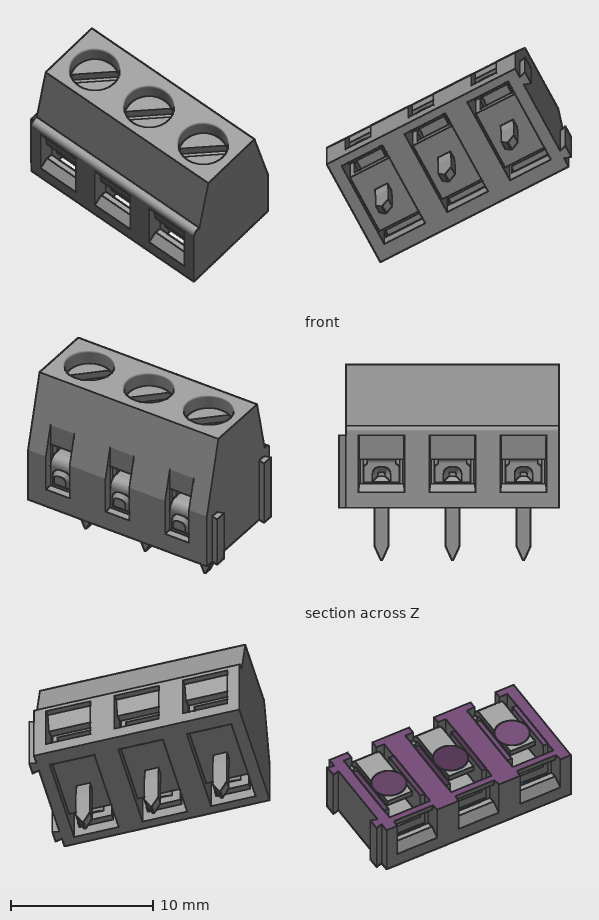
import cadquery as cq
import math


pole_count = 3
housing_length = 15.0
housing_depth = 8.1
housing_height = 10.1
pole_pitch = housing_length / pole_count
back_wall_height = 4.3
back_top_inset = 1.49
front_top_inset = 1.58
front_step_height = 5.8
front_step_depth = 0.6
front_step_radius = 0.4

rib_height_out = 0.5
rib_outer_width = 0.91
rib_base_width = 0.64
rib_inset = 1.0
front_rib_height = 5.12
back_rib_height = 3.9

opening_width = 3.25
opening_bottom = 1.1
opening_top = 5.12
funnel_end_width = 3.0
ledge_start = 0.62
ledge_height = 1.7
lip_front_top = 0.37
lip_front_bottom = 0.59
lip_height = 3.41

cavity_width = opening_width
cavity_front = 1.05
cavity_height = 5.0

notch_width = 2.0
notch_depth = 0.6
notch_bottom = 1.45

screw_y = 4.0
head_diameter = 3.5
head_top = 9.19
head_bottom = 7.13
head_radius = 0.35
shank_diameter = 2.5
slot_width = 0.75
slot_depth = 0.67
slot_angle = 45
hole_rim_diameter = 3.8
hole_rim_radius = (hole_rim_diameter - head_diameter) / 2

clamp_front = 1.78
clamp_inner_width = 2.55
clamp_bottom = 1.05
clamp_floor_top = 1.81
clamp_roof_bottom = 4.2
clamp_length = 2 * (screw_y - clamp_front)

pin_drop = 3.69
pin_width = 1.0
pin_thickness = 0.6
pin_front = 3.9
pin_point_length = 0.99
pin_point_width = 0.2
pin_tip_width = 0.08
pin_tip_height = 0.11
pin_bend_drop = 0.2
pin_lean_angle = 5

guard_thickness = 0.4
guard_back = housing_depth - notch_depth
guard_front = guard_back - guard_thickness
guard_width = 2.5
guard_shoulder = 2.91
tongue_width = 2.0
tongue_front = 2.48
bend_start = 3.15
bend_radius = 0.33
tongue_top = bend_start + bend_radius + guard_thickness

dimple_width = 1.27
dimple_height = 1.04
dimple_bottom = 1.85
dimple_corner = 0.5
dimple_depth = 0.39
dimple_taper = 45
boss_margin = 0.19
boss_depth = 0.33


def side_prism(points, width, center_x):
    """Extrude a closed (y, z) polygon along X, centred on center_x."""
    plane = cq.Workplane("YZ", origin=(center_x, 0, 0))
    return plane.polyline(points).close().extrude(width / 2, both=True)


def block(width, center_x, y_range, z_range):
    """Box centred on center_x that spans the given Y and Z ranges."""
    y_min, y_max = y_range
    z_min, z_max = z_range
    box = cq.Workplane("XY").box(width, y_max - y_min, z_max - z_min, centered=(True, False, False))
    return box.translate((center_x, y_min, z_min))


def upright_cylinder(diameter, center_x, z_min, z_max):
    """Cylinder on the screw axis of the pole at center_x."""
    plane = cq.Workplane("XY", origin=(center_x, screw_y, z_min))
    return plane.circle(diameter / 2).extrude(z_max - z_min)


def housing_shell():
    """Solid housing with sloped front and back and a rounded step in front."""
    profile = [
        (0, 0),
        (0, front_step_height),
        (front_step_depth, front_step_height),
        (front_top_inset, housing_height),
        (housing_depth - back_top_inset, housing_height),
        (housing_depth, back_wall_height),
        (housing_depth, 0),
    ]
    shell = side_prism(profile, housing_length, housing_length / 2)
    step_edge = cq.selectors.NearestToPointSelector((housing_length / 2, 0, front_step_height))
    return shell.edges(step_edge).fillet(front_step_radius)


def end_rib(center_y, height):
    """Dovetail rib on the x = 0 end, wider away from the housing."""
    outline = [
        (0, center_y - rib_base_width / 2),
        (-rib_height_out, center_y - rib_outer_width / 2),
        (-rib_height_out, center_y + rib_outer_width / 2),
        (0, center_y + rib_base_width / 2),
    ]
    return cq.Workplane("XY").polyline(outline).close().extrude(height)


def wire_opening(center_x):
    """Funnel from the front face to the cavity, with a ramp at its bottom and a lip hanging inside it."""
    plan = [
        (center_x - opening_width / 2, 0),
        (center_x - funnel_end_width / 2, cavity_front),
        (center_x + funnel_end_width / 2, cavity_front),
        (center_x + opening_width / 2, 0),
    ]
    profile = [
        (0, opening_bottom),
        (ledge_start, ledge_height),
        (cavity_front, ledge_height),
        (cavity_front, lip_height),
        (lip_front_bottom, lip_height),
        (lip_front_top, opening_top),
        (0, opening_top),
    ]
    funnel = cq.Workplane("XY").polyline(plan).close().extrude(housing_height)
    return funnel.intersect(side_prism(profile, opening_width, center_x))


def build_housing(pole_centers):
    housing = housing_shell()
    housing = housing.union(end_rib(rib_inset, front_rib_height))
    housing = housing.union(end_rib(housing_depth - rib_inset, back_rib_height))
    for center_x in pole_centers:
        housing = housing.cut(upright_cylinder(head_diameter, center_x, head_bottom, housing_height))
    housing = housing.faces(">Z").edges("%CIRCLE").fillet(hole_rim_radius)
    for center_x in pole_centers:
        housing = housing.cut(upright_cylinder(shank_diameter, center_x, cavity_height, head_bottom))
        housing = housing.cut(
            block(cavity_width, center_x, (cavity_front, guard_back), (0, cavity_height))
        )
        housing = housing.cut(wire_opening(center_x))
        housing = housing.cut(
            block(notch_width, center_x, (guard_back, housing_depth), (notch_bottom, housing_height))
        )
    return housing


def build_screw(center_x):
    """Slotted screw with a rounded head and a plain shank that ends on the wire guard."""
    head = upright_cylinder(head_diameter, center_x, head_bottom, head_top)
    head = head.faces(">Z").edges().fillet(head_radius)
    slot = (
        cq.Workplane("XY", origin=(center_x, screw_y, head_top - slot_depth))
        .transformed(rotate=(0, 0, slot_angle))
        .rect(2 * head_diameter, slot_width)
        .extrude(slot_depth)
    )
    shank = upright_cylinder(shank_diameter, center_x, tongue_top, head_bottom)
    return head.cut(slot).union(shank)


def solder_pin(center_x):
    """Flat pin with a bevelled point that leans back slightly above a bend just below the housing."""
    lean = (clamp_bottom + pin_bend_drop) * math.tan(math.radians(pin_lean_angle))
    profile = [
        (pin_front, -pin_drop),
        (pin_front, -pin_bend_drop),
        (pin_front + lean, clamp_bottom),
        (pin_front + lean + pin_thickness, clamp_bottom),
        (pin_front + pin_thickness, -pin_bend_drop),
        (pin_front + pin_thickness, -pin_drop),
    ]
    point_top = pin_point_length - pin_drop
    tip_top = pin_tip_height - pin_drop
    outline = [
        (pin_tip_width / 2, -pin_drop),
        (pin_point_width / 2, tip_top),
        (pin_width / 2, point_top),
        (pin_width / 2, clamp_bottom),
        (-pin_width / 2, clamp_bottom),
        (-pin_width / 2, point_top),
        (-pin_point_width / 2, tip_top),
        (-pin_tip_width / 2, -pin_drop),
    ]
    front_plane = cq.Workplane("XZ", origin=(center_x, 0, 0))
    flat_shape = front_plane.polyline(outline).close().extrude(-housing_depth)
    return side_prism(profile, pin_width, center_x).intersect(flat_shape)


def build_clamp(center_x):
    """Rectangular sleeve for the wire, threaded on the screw, with the pin under its floor."""
    y_range = (clamp_front, clamp_front + clamp_length)
    sleeve = block(cavity_width, center_x, y_range, (clamp_bottom, cavity_height))
    passage = block(clamp_inner_width, center_x, y_range, (clamp_floor_top, clamp_roof_bottom))
    screw_hole = upright_cylinder(shank_diameter, center_x, clamp_roof_bottom, cavity_height)
    return sleeve.cut(passage).cut(screw_hole).union(solder_pin(center_x))


def tapered_arch(center_x, start_y, margin, depth):
    """Dimple shape, larger by margin all round at start_y and tapering toward the back."""
    middle_z = dimple_bottom + dimple_height / 2
    plane = cq.Plane(origin=(center_x, start_y, middle_z), xDir=(-1, 0, 0), normal=(0, 1, 0))
    arch = (
        cq.Sketch()
        .rect(dimple_width + 2 * margin, dimple_height + 2 * margin)
        .vertices(">Y")
        .fillet(dimple_corner + margin)
    )
    return cq.Workplane(plane).placeSketch(arch).extrude(depth, taper=dimple_taper)


def build_wire_guard(center_x):
    """Bent strip: an upright plate with a dimple and a narrower tongue under the screw."""
    bend_center_y = guard_front - bend_radius
    tongue_bottom = tongue_top - guard_thickness
    diagonal = math.sqrt(0.5)
    outer_radius = bend_radius + guard_thickness
    strip = (
        cq.Workplane("YZ", origin=(center_x, 0, 0))
        .moveTo(guard_front, clamp_bottom)
        .lineTo(guard_front, bend_start)
        .threePointArc(
            (bend_center_y + bend_radius * diagonal, bend_start + bend_radius * diagonal),
            (bend_center_y, tongue_bottom),
        )
        .lineTo(tongue_front, tongue_bottom)
        .lineTo(tongue_front, tongue_top)
        .lineTo(bend_center_y, tongue_top)
        .threePointArc(
            (bend_center_y + outer_radius * diagonal, bend_start + outer_radius * diagonal),
            (guard_back, bend_start),
        )
        .lineTo(guard_back, clamp_bottom)
        .close()
        .extrude(guard_width / 2, both=True)
    )
    outline = [
        (-guard_width / 2, clamp_bottom),
        (-guard_width / 2, guard_shoulder),
        (-tongue_width / 2, bend_start),
        (-tongue_width / 2, tongue_top),
        (tongue_width / 2, tongue_top),
        (tongue_width / 2, bend_start),
        (guard_width / 2, guard_shoulder),
        (guard_width / 2, clamp_bottom),
    ]
    front_plane = cq.Workplane("XZ", origin=(center_x, 0, 0))
    flat_shape = front_plane.polyline(outline).close().extrude(-housing_depth)
    boss = tapered_arch(center_x, guard_back, boss_margin, boss_depth)
    dimple = tapered_arch(center_x, guard_front, 0, dimple_depth)
    return strip.intersect(flat_shape).union(boss).cut(dimple)


pole_centers = [(index + 0.5) * pole_pitch for index in range(pole_count)]
housing = build_housing(pole_centers)
screws = [build_screw(center_x).val() for center_x in pole_centers]
clamps = [build_clamp(center_x).val() for center_x in pole_centers]
wire_guards = [build_wire_guard(center_x).val() for center_x in pole_centers]

result = cq.Compound.makeCompound([housing.val(), *screws, *clamps, *wire_guards])